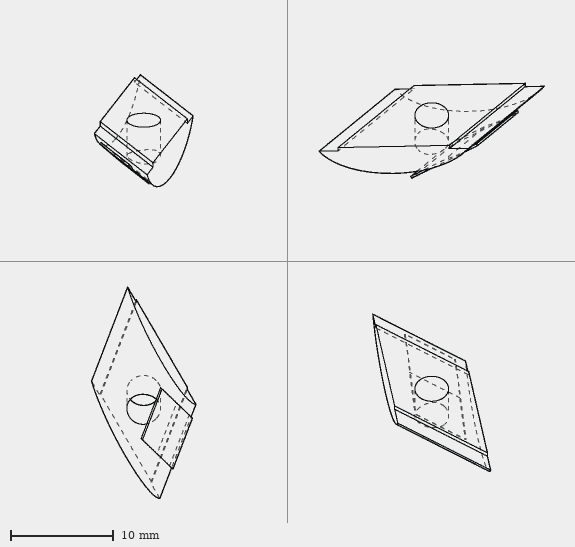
import cadquery as cq
import math

overall_length = 21.07
skew = 10.11
body_width = 10.47
body_height = 3.98
step_depth = 0.48
land_width = 7.8
hole_diameter = 3.29

plate_tilt = 45.0
plate_length = 5.92
plate_slope_length = 6.55
plate_thickness = 0.21
plate_skew = 4.42
plate_lower_x = -3.6
plate_bottom_z = -5.73
overall_width = 10.54
plate_front_y = body_width / 2 - overall_width


def make_body():
    half_width = body_width / 2
    half_land = land_width / 2
    half_length = overall_length / 2
    profile = (
        cq.Workplane("YZ", origin=(-half_length, 0, 0))
        .moveTo(-half_width, -step_depth)
        .threePointArc((0, -body_height), (half_width, -step_depth))
        .lineTo(half_land, -step_depth)
        .lineTo(half_land, 0)
        .lineTo(-half_land, 0)
        .lineTo(-half_land, -step_depth)
        .close()
        .extrude(overall_length)
    )
    skewed_outline = (
        cq.Workplane("XY")
        .polyline([
            (-half_length, half_width),
            (half_length - skew, half_width),
            (half_length, -half_width),
            (skew - half_length, -half_width),
        ])
        .close()
        .extrude(-body_height)
    )
    hole = cq.Workplane("XY").circle(hole_diameter / 2).extrude(-body_height)
    return profile.intersect(skewed_outline).cut(hole)


def make_plate():
    tilt = math.radians(plate_tilt)
    lower_y = plate_front_y + plate_slope_length * math.cos(tilt)
    plane = cq.Plane(
        origin=(plate_lower_x, lower_y, plate_bottom_z),
        xDir=(1, 0, 0),
        normal=(0, math.sin(tilt), math.cos(tilt)),
    )
    return (
        cq.Workplane(plane)
        .polyline([
            (0, 0),
            (plate_length, 0),
            (plate_length + plate_skew, -plate_slope_length),
            (plate_skew, -plate_slope_length),
        ])
        .close()
        .extrude(plate_thickness)
    )


result = make_body().union(make_plate())